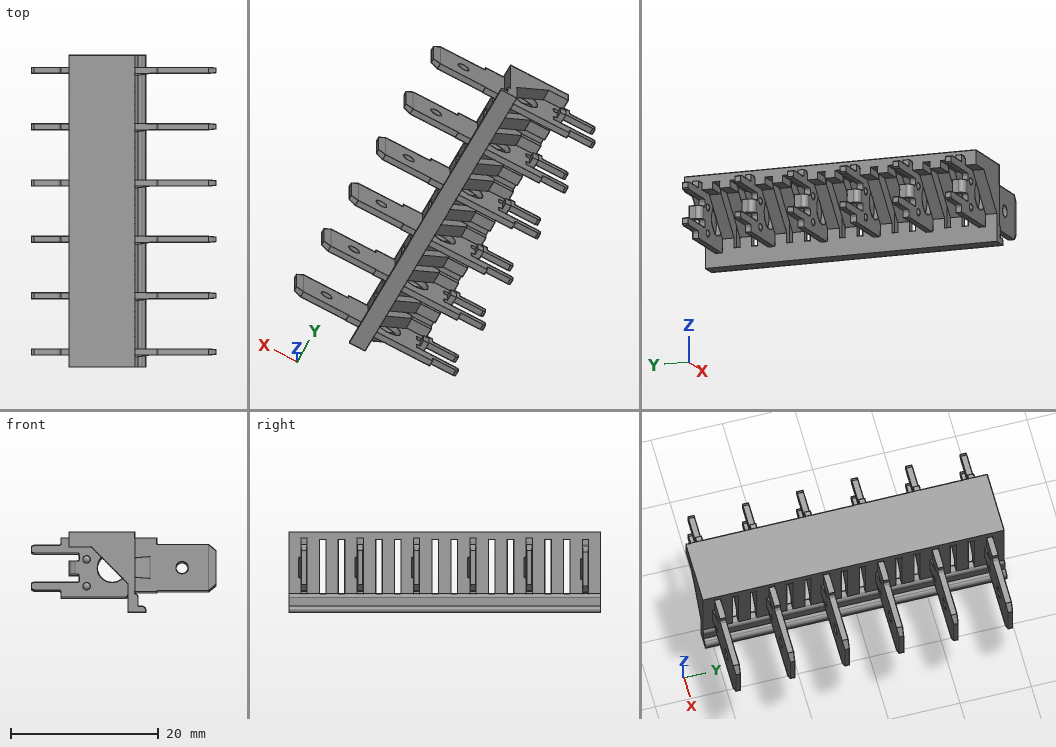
import cadquery as cq
length = 42.2
housing_depth = 8.95
slab_height = 2.03
slab_depth = 3.05
wall_thickness = 0.95
wall_top = -7.0
housing_height = 10.9
toe_top = -10.05
toe_reach = 10.43
toe_radius = 0.55
ramp_top = -8.35
ramp_bottom = -8.85
ramp_reach = 0.42

slot_count = 16
slot_span = 38.12
slot_pitch = slot_span / (slot_count - 1)
slots_per_terminal = 3
slot_top = -1.05
slot_bottom = -8.35
slot_mouth_width = 1.05

sheet = 0.85
axis_height = -4.8
tail_tip = -5.05
blade_tip = 19.93
body_start = -1.1
shoulder = 8.0
shoulder_radius = 0.42
body_half_height = 4.0
neck_end = 11.9
neck_bottom = -3.25
blade_half_height = 3.12
blade_bevel_length = 1.0
blade_bevel_height = 0.85
blade_side_bevel = 0.105
tail_offset = 2.5
tail_width = 1.05
tail_inner = tail_offset - tail_width / 2
tail_outer = tail_offset + tail_width / 2
tail_tip_length = 0.4
tail_tip_bevel = 0.15
fork_root = 1.4
corner_radius = 0.2
seated_drop = 0.2

tab_height = 1.8
tab_reach = 0.93
tab_bend_radius = 0.85

blade_hole_x = 15.33
blade_hole_diameter = 1.65
body_hole_x = 5.85
body_hole_diameter = 4.0
dimple_x = 2.4
dimple_offsets = (1.1, -2.55)
dimple_diameter = 1.0
dimple_height = 0.25
barb_length = 2.03
barb_rise = 0.3
barb_root_height = 2.95
barb_tip_height = 2.6

pick_margin = 0.05


def box(x0, x1, y_width, z0, z1):
    """Block between two X and two Z values, centred on Y = 0."""
    return cq.Workplane("XY").box(x1 - x0, y_width, z1 - z0).translate(((x0 + x1) / 2, 0, (z0 + z1) / 2))


def make_housing_rail():
    wall_back = housing_depth - wall_thickness
    ramp_x = housing_depth + ramp_reach
    profile = (
        cq.Workplane("XZ")
        .moveTo(0, 0)
        .lineTo(0, -slab_height)
        .lineTo(slab_depth, -slab_height)
        .lineTo(wall_back, wall_top)
        .lineTo(wall_back, -housing_height)
        .lineTo(toe_reach, -housing_height)
        .lineTo(toe_reach, toe_top - toe_radius)
        .tangentArcPoint((toe_reach - toe_radius, toe_top), relative=False)
        .lineTo(ramp_x, toe_top)
        .lineTo(ramp_x, ramp_bottom)
        .tangentArcPoint((housing_depth, ramp_top), relative=False)
        .lineTo(housing_depth, 0)
        .close()
    )
    return profile.extrude(length / 2, both=True)


def make_slot():
    """Passage one sheet wide, with a wider mouth under the slab."""
    mouth = box(0, slab_depth, slot_mouth_width, -slab_height, slot_top)
    passage = box(0, housing_depth, sheet, slot_bottom, slot_top)
    return mouth.union(passage)


def make_blade_wedge():
    """Envelope that thins the last stretch of the blade from both faces."""
    bevel_start = blade_tip - blade_bevel_length
    tip_half = sheet / 2 - blade_side_bevel
    return (
        cq.Workplane("XY")
        .workplane(offset=-blade_half_height)
        .polyline([
            (tail_tip, sheet / 2),
            (bevel_start, sheet / 2),
            (blade_tip, tip_half),
            (blade_tip, -tip_half),
            (bevel_start, -sheet / 2),
            (tail_tip, -sheet / 2),
        ])
        .close()
        .extrude(2 * blade_half_height)
    )


def make_blade():
    blade = box(neck_end, blade_tip, sheet, -blade_half_height, blade_half_height)
    blade = blade.faces(">X").edges("|Y").chamfer(blade_bevel_height, blade_bevel_length)
    return blade.intersect(make_blade_wedge())


def make_tab():
    """Tab between the tails, bent towards +Y."""
    tab = box(0, fork_root, sheet, -tab_height / 2, tab_height / 2)
    leg = box(0, sheet, tab_reach, -tab_height / 2, tab_height / 2).translate((0, (sheet + tab_reach) / 2, 0))
    return tab.union(leg).edges("|Z and <X and <Y").fillet(tab_bend_radius)


def make_dimple(offset):
    """Spherical cap standing on the -Y face."""
    cap_radius = dimple_diameter / 2
    sphere_radius = (cap_radius**2 + dimple_height**2) / (2 * dimple_height)
    return (
        cq.Workplane("XY")
        .moveTo(0, 0)
        .lineTo(cap_radius, 0)
        .radiusArc((0, -dimple_height), sphere_radius)
        .close()
        .revolve(360, (0, 0), (0, 1))
        .translate((dimple_x, -sheet / 2, offset))
    )


def make_barb():
    """Ramp on the -Y face that rises towards the housing and locks behind its wall."""
    face = -sheet / 2
    x0 = housing_depth
    x1 = housing_depth + barb_length
    ramp = (
        cq.Workplane("XY")
        .polyline([(x0, face), (x1, face), (x0, face - barb_rise)])
        .close()
        .extrude(barb_root_height / 2, both=True)
    )
    outline = (
        cq.Workplane("XZ")
        .polyline([
            (x0, -barb_tip_height / 2),
            (x1, -barb_root_height / 2),
            (x1, barb_root_height / 2),
            (x0, barb_tip_height / 2),
        ])
        .close()
        .extrude(2 * sheet, both=True)
    )
    return ramp.intersect(outline)


def make_tail(side):
    """Solder tail above (side 1) or below (side -1) the centre line, with its share of the body."""
    tail = box(tail_tip, fork_root, sheet, tail_inner, tail_outer)
    tail = tail.faces("<X").edges("|Y").chamfer(tail_tip_bevel, tail_tip_length)
    tail = tail.union(box(body_start, fork_root, sheet, tail_inner, body_half_height))
    return tail if side > 0 else tail.mirror("XY")


def round_corners(plate, corners, radius):
    """Round the edges along Y that pass through the given (X, Z) points."""
    for x, z in corners:
        spot = cq.selectors.BoxSelector(
            (x - pick_margin, -sheet, z - pick_margin),
            (x + pick_margin, sheet, z + pick_margin),
        )
        plate = plate.edges("|Y").edges(spot).fillet(radius)
    return plate


def make_terminal():
    plate = box(fork_root, shoulder, sheet, -body_half_height, body_half_height)
    plate = plate.union(box(shoulder, neck_end, sheet, neck_bottom, body_half_height))
    plate = plate.union(make_blade()).union(make_tab())
    for side in (1, -1):
        plate = plate.union(make_tail(side))
    plate = plate.clean()

    inside_corners = [(neck_end, blade_half_height)]
    for side in (1, -1):
        inside_corners.append((body_start, side * tail_outer))
        inside_corners.append((fork_root, side * tail_inner))
        inside_corners.append((fork_root, side * tab_height / 2))
    plate = round_corners(plate, inside_corners, corner_radius)
    plate = round_corners(plate, [(shoulder, -body_half_height)], shoulder_radius)

    for x, diameter in ((blade_hole_x, blade_hole_diameter), (body_hole_x, body_hole_diameter)):
        hole = cq.Workplane("XZ", origin=(x, sheet, 0)).circle(diameter / 2).extrude(2 * sheet)
        plate = plate.cut(hole)
    for offset in dimple_offsets:
        plate = plate.union(make_dimple(offset))
    return plate.union(make_barb()).translate((0, 0, axis_height))


slot_positions = [slot_pitch * i - slot_span / 2 for i in range(slot_count)]
housing = make_housing_rail()
slot = make_slot()
for y in slot_positions:
    housing = housing.cut(slot.translate((0, y, 0)))

terminal = make_terminal()
terminals = []
for y in slot_positions[::slots_per_terminal]:
    drop = seated_drop if y == slot_positions[-1] else 0
    placed = terminal.translate((0, y, -drop))
    housing = housing.cut(placed)
    terminals.append(placed.val())

result = cq.Compound.makeCompound([housing.val(), *terminals])